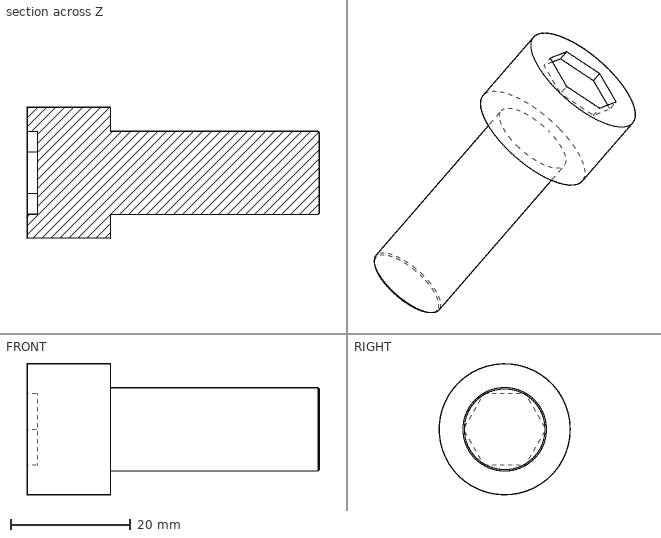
import cadquery as cq
import math

total_length = 49.0
shank_diameter = 14.0
head_length = shank_diameter
head_diameter = 22.0
tip_chamfer = 0.25
socket_across_flats = 12.0
socket_depth = 1.7

head_face_x = -total_length / 2
socket_across_corners = socket_across_flats / math.cos(math.pi / 6)

head_plane = cq.Workplane("YZ", origin=(head_face_x, 0, 0))

head = head_plane.circle(head_diameter / 2).extrude(head_length)

shank = (
    head_plane.workplane(offset=head_length)
    .circle(shank_diameter / 2)
    .extrude(total_length - head_length)
    .faces(">X")
    .chamfer(tip_chamfer)
)

socket = head_plane.polygon(6, socket_across_corners).extrude(socket_depth)

result = head.union(shank).cut(socket)